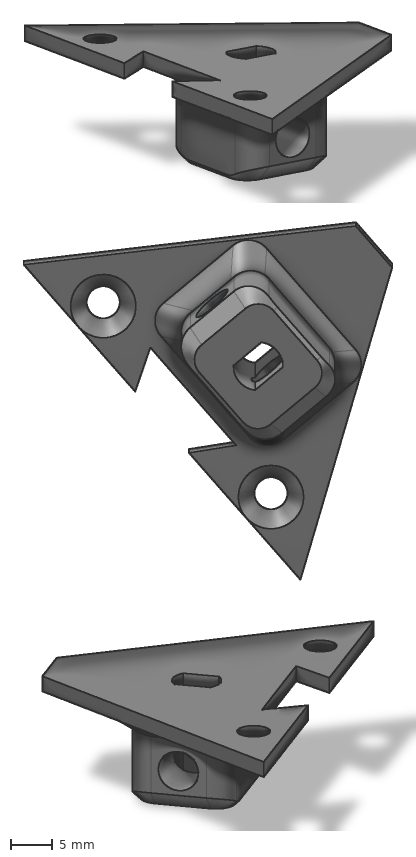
import cadquery as cq

plate_width = 51.8
plate_depth = 33.8
plate_thickness = 1.95
rear_edge_width = 6.85
notch_depth = 4.95
notch_mouth_width = 10.05
notch_inner_width = 16.05
screw_hole_diameter = 4.0
screw_hole_spacing = 31.4
screw_hole_y = 4.0

total_height = 14.0
block_height = total_height - plate_thickness
block_width = 17.3
block_depth = 13.0
block_corner_radius = 3.0
block_y = 15.35

flare_width = 22.45
flare_depth = 16.9
flare_height = 3.0
flare_corner_radius = 2.9

bottom_width = 13.0
bottom_depth = 11.85
bottom_corner_radius = 2.45
bevel_angle = 45.0

cross_hole_diameter = 5.0
cross_hole_z = 5.3
slot_length = 6.0
slot_width = 4.05


def rounded_rectangle(width, depth, radius):
    return cq.Sketch().rect(width, depth).vertices().fillet(radius)


def make_plate():
    half_notch_mouth = notch_mouth_width / 2
    half_notch_inner = notch_inner_width / 2
    outline = [
        (-plate_width / 2, 0),
        (-half_notch_mouth, 0),
        (-half_notch_inner, notch_depth),
        (half_notch_inner, notch_depth),
        (half_notch_mouth, 0),
        (plate_width / 2, 0),
        (rear_edge_width / 2, plate_depth),
        (-rear_edge_width / 2, plate_depth),
    ]
    return (
        cq.Workplane("XY", origin=(0, 0, block_height))
        .polyline(outline)
        .close()
        .extrude(plate_thickness)
    )


def make_block():
    bottom_plane = cq.Workplane("XY", origin=(0, block_y, 0))
    walls = bottom_plane.placeSketch(
        rounded_rectangle(block_width, block_depth, block_corner_radius)
    ).extrude(block_height)
    bevel = bottom_plane.placeSketch(
        rounded_rectangle(bottom_width, bottom_depth, bottom_corner_radius)
    ).extrude(block_height, taper=-bevel_angle)
    return walls.intersect(bevel)


def make_flare():
    upper = rounded_rectangle(flare_width, flare_depth, flare_corner_radius)
    lower = rounded_rectangle(
        flare_width - 2 * flare_height,
        flare_depth - 2 * flare_height,
        flare_corner_radius,
    ).moved(cq.Location(cq.Vector(0, 0, -flare_height)))
    return (
        cq.Workplane("XY", origin=(0, block_y, block_height))
        .placeSketch(upper, lower)
        .loft(ruled=True)
    )


def make_screw_holes():
    upper_radius = screw_hole_diameter / 2
    lower_radius = upper_radius + plate_thickness
    cones = cq.Workplane("XY")
    for side in (-1, 1):
        base = cq.Vector(side * screw_hole_spacing / 2, screw_hole_y, block_height)
        cones.add(cq.Solid.makeCone(lower_radius, upper_radius, plate_thickness, base))
    return cones.combine()


def make_slot():
    plane = cq.Workplane("XY", origin=(0, block_y, 0))
    round_hole = plane.circle(slot_length / 2).extrude(total_height)
    flats = plane.rect(slot_width, slot_length).extrude(total_height)
    return round_hole.intersect(flats)


def make_cross_hole():
    return (
        cq.Workplane("YZ", origin=(0, block_y, cross_hole_z))
        .circle(cross_hole_diameter / 2)
        .extrude(block_width / 2, both=True)
    )


result = make_plate().union(make_block()).union(make_flare())
result = result.cut(make_screw_holes()).cut(make_slot()).cut(make_cross_hole())